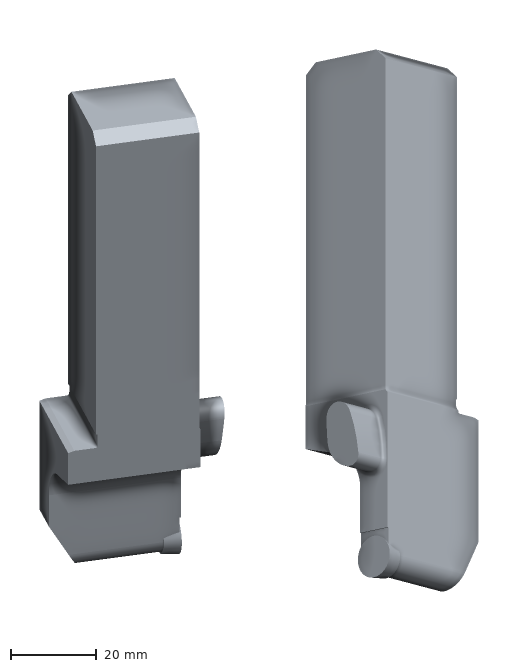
import cadquery as cq
import math


insert_radius = 5.0
insert_thickness = 4.2
insert_clearance = 7.0

shank_size = 25.0
shank_right = 21.5
shank_left = shank_right - shank_size
shank_back = -0.25
shank_front = shank_back - shank_size
shank_top = 127.0 - insert_radius
shank_chamfer_width = 3.0
shank_chamfer_height = 2.6

blade_radius = 4.25
blade_center_z = 0.4
head_front = -32.0
head_top = 38.3
head_chamfer_width = 1.5
head_chamfer_drop = 0.4
cove_top = 40.7
cove_radius = 2.3
neck_front = -24.85
neck_top = 41.9
neck_fillet = 0.5
seat_face_y = -0.35
seat_face_top = 6.4
bevel_start_z = 8.7
bevel_angle = 30.0

arm_radius = 10.0
arm_angle = 15.0
arm_end_z = 29.4

nozzle_top = 35.7
nozzle_bottom = 20.3
nozzle_center_x = 2.0
nozzle_top_radius = 3.8
nozzle_left = -3.1
nozzle_corner_radius = 2.7
nozzle_heel_radius = 6.5
nozzle_right = nozzle_left + nozzle_corner_radius + nozzle_heel_radius
nozzle_height = nozzle_top - nozzle_bottom
nozzle_length = 10.53
nozzle_end_angle = 7.5
nozzle_foot_fillet = 1.1


def cove_drop(step):
    """Height lost by the cove while it moves outward by step."""
    return math.sqrt(cove_radius**2 - (cove_radius - step) ** 2)


def prism_along_y(outline):
    """Extrude an XZ outline over the whole depth of the holder."""
    return outline.extrude(-head_front)


def front_profile():
    """XZ outline: shank, cove, blade with round tip and the hollow under the head."""
    slope = math.radians(arm_angle)
    arm_center_x = blade_radius + arm_radius
    tangent_x = arm_center_x - arm_radius * math.sin(slope)
    tangent_z = arm_end_z - (shank_right - tangent_x) * math.tan(slope)
    arm_center_z = tangent_z - arm_radius * math.cos(slope)
    cove_end = cove_top - cove_drop(shank_left + blade_radius)
    return (
        cq.Workplane("XZ")
        .moveTo(-blade_radius, blade_center_z)
        .lineTo(-blade_radius, cove_end)
        .radiusArc((shank_left, cove_top), -cove_radius)
        .lineTo(shank_left, shank_top - shank_chamfer_height)
        .lineTo(shank_left + shank_chamfer_width, shank_top)
        .lineTo(shank_right - shank_chamfer_width, shank_top)
        .lineTo(shank_right, shank_top - shank_chamfer_height)
        .lineTo(shank_right, arm_end_z)
        .lineTo(tangent_x, tangent_z)
        .radiusArc((blade_radius, arm_center_z), -arm_radius)
        .lineTo(blade_radius, blade_center_z)
        .threePointArc((0, blade_center_z - blade_radius), (-blade_radius, blade_center_z))
        .close()
    )


def side_profile():
    """YZ outline: shank, relieved neck, chamfered head and bevelled blade heel."""
    bottom = blade_center_z - blade_radius
    heel_y = head_front + (bevel_start_z - bottom) * math.tan(math.radians(bevel_angle))
    return (
        cq.Workplane("YZ")
        .moveTo(seat_face_y, bottom)
        .lineTo(seat_face_y, seat_face_top)
        .lineTo(0, seat_face_top)
        .lineTo(0, cove_top - cove_drop(-shank_back))
        .radiusArc((shank_back, cove_top), cove_radius)
        .lineTo(shank_back, shank_top)
        .lineTo(shank_front, shank_top)
        .lineTo(shank_front, neck_top)
        .lineTo(neck_front, neck_top)
        .lineTo(neck_front, head_top + neck_fillet)
        .radiusArc((neck_front - neck_fillet, head_top), neck_fillet)
        .lineTo(head_front + head_chamfer_width, head_top)
        .lineTo(head_front, head_top - head_chamfer_drop)
        .lineTo(head_front, bevel_start_z)
        .lineTo(heel_y, bottom)
        .close()
    )


def nozzle_side_joint(side_x, start_z):
    """Point where a side arc, vertical at (side_x, start_z), runs smoothly into the top arc."""
    top_center_z = nozzle_top - nozzle_top_radius
    half_width = abs(side_x - nozzle_center_x)
    rise = top_center_z - start_z
    side_radius = (half_width**2 + rise**2 - nozzle_top_radius**2) / (2 * (half_width - nozzle_top_radius))
    lean = math.asin(rise / (side_radius - nozzle_top_radius))
    outward = math.copysign(1, side_x - nozzle_center_x)
    joint_x = nozzle_center_x + outward * nozzle_top_radius * math.cos(lean)
    joint_z = top_center_z + nozzle_top_radius * math.sin(lean)
    return joint_x, joint_z


def make_nozzle():
    """Rounded coolant nozzle on the +Y face, narrower at the top, with a slanted end."""
    left_start = (nozzle_left, nozzle_bottom + nozzle_corner_radius)
    right_start = (nozzle_right, nozzle_bottom + nozzle_heel_radius)
    left_joint = nozzle_side_joint(*left_start)
    right_joint = nozzle_side_joint(*right_start)
    body = (
        cq.Workplane("XZ")
        .moveTo(*left_joint)
        .threePointArc((nozzle_center_x, nozzle_top), right_joint)
        .tangentArcPoint(right_start, relative=False)
        .radiusArc((nozzle_left + nozzle_corner_radius, nozzle_bottom), nozzle_heel_radius)
        .radiusArc(left_start, nozzle_corner_radius)
        .tangentArcPoint(left_joint, relative=False)
        .close()
        .extrude(-nozzle_length)
    )
    end_setback = nozzle_height * math.tan(math.radians(nozzle_end_angle))
    slanted_end = (
        cq.Workplane("YZ")
        .moveTo(nozzle_length, nozzle_top)
        .lineTo(nozzle_length - end_setback, nozzle_bottom)
        .lineTo(nozzle_length, nozzle_bottom)
        .close()
        .extrude(nozzle_height, both=True)
    )
    return body.cut(slanted_end)


def make_insert():
    """Round insert, tapered toward its base by the clearance angle."""
    return cq.Workplane("XZ").circle(insert_radius).extrude(insert_thickness, taper=insert_clearance)


def make_holder():
    """Holder body with its nozzle and the conical insert seat."""
    body = prism_along_y(front_profile())
    body = body.intersect(side_profile().extrude(shank_right, both=True))
    body = body.union(make_nozzle())
    nozzle_foot = cq.selectors.BoxSelector(
        (nozzle_left, -nozzle_foot_fillet, nozzle_bottom),
        (nozzle_right, nozzle_foot_fillet, nozzle_top),
    )
    body = body.edges(nozzle_foot).fillet(nozzle_foot_fillet)
    return body.cut(make_insert())


holder = make_holder()
insert = make_insert()
result = cq.Compound.makeCompound([holder.val(), insert.val()])